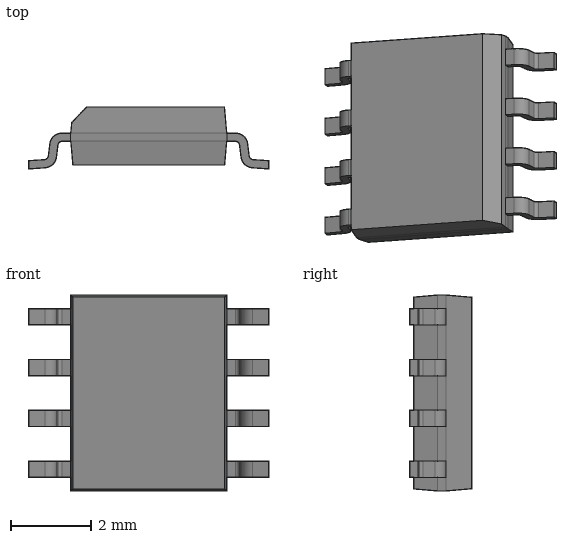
import cadquery as cq
import math


body_width = 3.9
body_length = 4.9
standoff = 0.1
body_top = 1.55
band_bottom = 0.7
band_top = 0.9
draft_angle = 5.0
bevel_drop = 0.39
bevel_run = 0.34
overshoot = 0.2

lead_span = 6.0
lead_width = 0.41
lead_thickness = 0.21
lead_pitch = 1.27
leads_per_side = 4
inner_radius = 0.1
outer_radius = inner_radius + lead_thickness
leg_tilt = math.radians(7.0)
foot_tilt = math.radians(4.0)
foot_reach = 0.39


def drafted_half(start, height):
    """Half of the body from the plane Y = start, narrowing along the signed height."""
    half = (
        cq.Workplane("XY")
        .rect(body_width, body_length)
        .extrude(abs(height), taper=draft_angle)
    )
    turn = -90 if height > 0 else 90
    return half.rotate((0, 0, 0), (1, 0, 0), turn).translate((0, start, 0))


def upper_wall_x(y):
    """X of the drafted -X wall at a height y above the band."""
    return -body_width / 2 + (y - band_top) * math.tan(math.radians(draft_angle))


def bevel_cutter():
    """Wedge that removes the top -X edge over the whole body length."""
    bevel_bottom = body_top - bevel_drop
    wall_x = upper_wall_x(bevel_bottom)
    top_x = upper_wall_x(body_top) + bevel_run
    rise = overshoot * bevel_drop / (top_x - wall_x)
    return (
        cq.Workplane("XY")
        .polyline([
            (wall_x - overshoot, bevel_bottom - rise),
            (top_x + overshoot, body_top + rise),
            (wall_x - overshoot, body_top + rise),
        ])
        .close()
        .extrude(body_length, both=True)
    )


def make_body():
    band = (
        cq.Workplane("XY")
        .box(body_width, band_top - band_bottom, body_length)
        .translate((0, (band_bottom + band_top) / 2, 0))
    )
    upper = drafted_half(band_top, body_top - band_top)
    lower = drafted_half(band_bottom, standoff - band_bottom)
    return band.union(upper).union(lower).cut(bevel_cutter()).solids()


def on_circle(center, radius, angle):
    return (center[0] + radius * math.cos(angle), center[1] + radius * math.sin(angle))


def make_lead():
    """Lead on the -X side, centred on Z = 0, butting against the parting band."""
    tip_x = -lead_span / 2
    root_x = -body_width / 2

    foot_center = (
        tip_x + foot_reach,
        foot_reach * math.tan(foot_tilt) + outer_radius / math.cos(foot_tilt),
    )
    knee_y = band_top - outer_radius
    center_rise = knee_y - foot_center[1]
    center_run = (inner_radius + outer_radius + center_rise * math.sin(leg_tilt)) / math.cos(leg_tilt)
    knee_center = (foot_center[0] + center_run, knee_y)

    up = math.pi / 2
    knee_end = math.pi - leg_tilt
    knee_middle = (up + knee_end) / 2
    foot_start = -leg_tilt
    foot_end = -math.pi / 2 + foot_tilt
    foot_middle = (foot_start + foot_end) / 2
    tip_height = lead_thickness / math.cos(foot_tilt)

    return (
        cq.Workplane("XY")
        .moveTo(root_x, band_top)
        .lineTo(*on_circle(knee_center, outer_radius, up))
        .threePointArc(
            on_circle(knee_center, outer_radius, knee_middle),
            on_circle(knee_center, outer_radius, knee_end),
        )
        .lineTo(*on_circle(foot_center, inner_radius, foot_start))
        .threePointArc(
            on_circle(foot_center, inner_radius, foot_middle),
            on_circle(foot_center, inner_radius, foot_end),
        )
        .lineTo(tip_x, tip_height)
        .lineTo(tip_x, 0)
        .lineTo(*on_circle(foot_center, outer_radius, foot_end))
        .threePointArc(
            on_circle(foot_center, outer_radius, foot_middle),
            on_circle(foot_center, outer_radius, foot_start),
        )
        .lineTo(*on_circle(knee_center, inner_radius, knee_end))
        .threePointArc(
            on_circle(knee_center, inner_radius, knee_middle),
            on_circle(knee_center, inner_radius, up),
        )
        .lineTo(root_x, band_top - lead_thickness)
        .close()
        .extrude(lead_width / 2, both=True)
    )


body = make_body()

left_lead = make_lead()
right_lead = left_lead.mirror("YZ")
leads = []
for index in range(leads_per_side):
    z = (index - (leads_per_side - 1) / 2) * lead_pitch
    for lead in (left_lead, right_lead):
        leads.append(lead.translate((0, 0, z)))

result = cq.Compound.makeCompound([body.val(), *[lead.val() for lead in leads]])